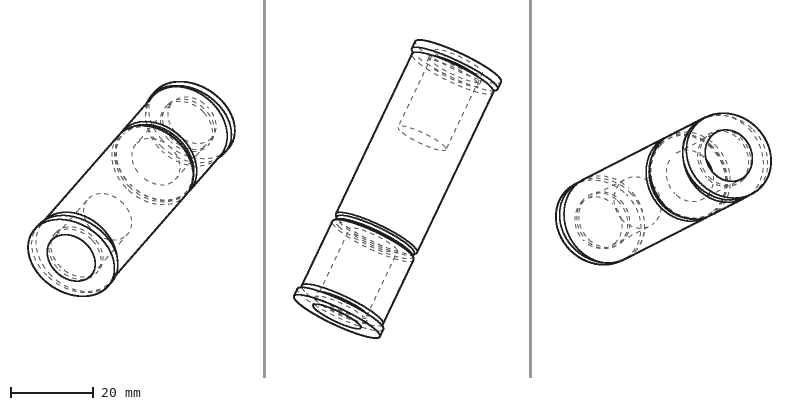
import cadquery as cq

length = 69.4
body_diameter = 21.7

flange_width = 23.0
flange_height = 21.0
flange_thickness = 2.0
neck_diameter = 13.8
neck_length = 1.1

socket_diameter = 12.8
socket_depth = 20.8

groove_diameter = 20.7
groove_offset = 20.7
groove_width = 1.95

half_length = length / 2
collar_length = flange_thickness + neck_length
body_end = half_length - collar_length
body_radius = body_diameter / 2
groove_radius = groove_diameter / 2
groove_depth = body_radius - groove_radius
groove_back = half_length - groove_offset
groove_front = groove_back - groove_width


def section(y):
    """Workplane across the part at y, with its normal along +Y."""
    plane = cq.Plane(origin=(0, y, 0), xDir=(1, 0, 0), normal=(0, 1, 0))
    return cq.Workplane(plane)


def make_body():
    """Revolved cylinder with the groove; the groove walls slope at 45 degrees."""
    profile = [
        (0, -body_end),
        (body_radius, -body_end),
        (body_radius, groove_front),
        (groove_radius, groove_front + groove_depth),
        (groove_radius, groove_back - groove_depth),
        (body_radius, groove_back),
        (body_radius, body_end),
        (0, body_end),
    ]
    return cq.Workplane("XY").polyline(profile).close().revolve(360, (0, 0), (0, 1))


def make_collar(side):
    """Neck and flange at the end given by side (+1 or -1)."""
    neck = section(side * body_end).circle(neck_diameter / 2).extrude(side * collar_length)
    flange = (
        section(side * (body_end + neck_length))
        .ellipse(flange_width / 2, flange_height / 2)
        .extrude(side * flange_thickness)
    )
    return neck.union(flange)


def make_socket(side):
    """Cylinder to cut inward from the end given by side."""
    return section(side * half_length).circle(socket_diameter / 2).extrude(-side * socket_depth)


result = make_body()
for side in (-1, 1):
    result = result.union(make_collar(side)).cut(make_socket(side))